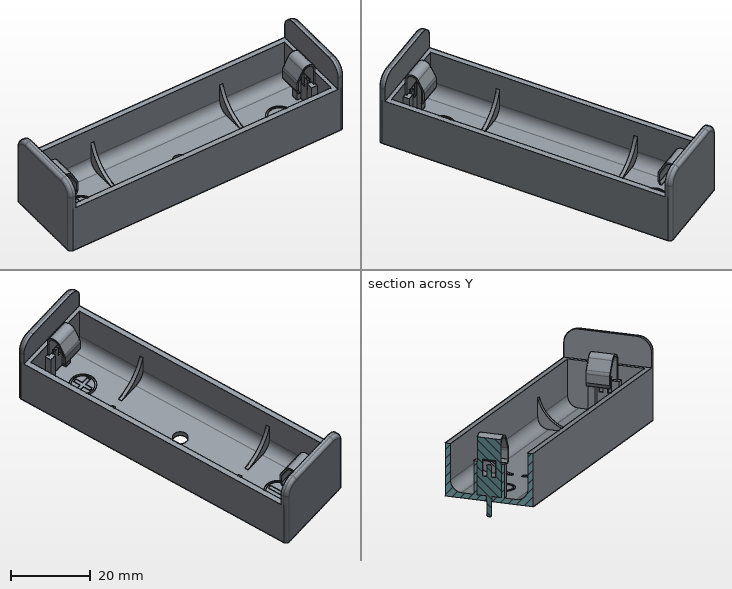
import cadquery as cq
import math

length = 83.0
width = 23.8
rim_height = 14.0
end_height = 21.8
end_thickness = 1.8
end_corner_radius = 4.0
end_edge_radius = 1.0
side_wall = 1.5
end_wall = 2.9
floor_thickness = 1.5
floor_corner_radius = 3.0
drain_diameter = 4.0

rib_thickness = 1.0
rib_offset = 19.5
rib_gap = 2.6
battery_radius = 10.8

ring_outer_diameter = 7.0
ring_inner_diameter = 6.0
ring_offset = 30.05
sign_length = 5.0
sign_width = 1.0
engraving_depth = 0.2

sheet = 0.5
contact_width = 6.5
contact_top = 17.35
arch_radius = 2.0
leaf_angle = 62.0
leaf_reach = 5.5
leaf_bend_radius = 2.0
leaf_bottom = 10.2
foot_run = 0.5
foot_drop = 1.0
pin_width = 1.3
pin_length = 4.0
pin_chamfer = 0.3
pin_top = 9.7
window_width = 3.5
window_bottom = 6.55
window_top = 10.9

rail_height = 10.3
rail_pair_width = 8.5
rail_depth = 1.75
rail_gap = 4.5

cavity_width = width - 2 * side_wall
cavity_length = length - 2 * end_wall
cavity_end = cavity_length / 2
ENDS = (1, -1)


def upright_box(size_x, size_y, size_z, y=0.0, z=0.0):
    """Box centred on X and on the given Y, standing on the given Z."""
    return cq.Workplane("XY", origin=(0, y, z)).box(size_x, size_y, size_z, centered=(True, True, False))


def at_end(body, end):
    """Keep a body modelled at the +Y end (end = 1) or turn it to the -Y end (end = -1)."""
    return body if end > 0 else body.rotate((0, 0, 0), (0, 0, 1), 180)


def end_plate():
    plate = upright_box(width, end_thickness, end_height, y=(length - end_thickness) / 2)
    plate = plate.edges("|Y and >Z").fillet(end_corner_radius)
    return plate.faces(">Y").edges("not <Z").fillet(end_edge_radius)


def cavity():
    block = upright_box(cavity_width, cavity_length, end_height, z=floor_thickness)
    return block.edges("|Y and <Z").fillet(floor_corner_radius)


def rib():
    """Cross rib hollowed to the battery's curve and open in the middle."""
    battery_axis = floor_thickness + battery_radius
    blank = upright_box(width - side_wall, rib_thickness, battery_axis, y=rib_offset)
    battery = (
        cq.Workplane("XZ", origin=(0, 0, battery_axis))
        .circle(battery_radius)
        .extrude(cavity_end, both=True)
    )
    gap = upright_box(rib_gap, rib_thickness, rim_height, y=rib_offset, z=floor_thickness)
    return blank.cut(battery).cut(gap)


def rails():
    """Pair of L-shaped rails that wrap the edges of a contact against the end wall."""
    block = upright_box(rail_pair_width, rail_depth, rail_height, y=cavity_end - rail_depth / 2)
    slot = upright_box(contact_width, sheet, rail_height, y=cavity_end - sheet / 2, z=floor_thickness)
    gap = upright_box(rail_gap, rail_depth, rail_height, y=cavity_end - rail_depth / 2, z=floor_thickness)
    return block.cut(slot).cut(gap)


def polarity_engraving(end):
    """Ring around a minus at the +Y end or a plus at the -Y end."""
    y = end * ring_offset
    z = floor_thickness - engraving_depth
    ring = (
        cq.Workplane("XY", origin=(0, y, z))
        .circle(ring_outer_diameter / 2)
        .circle(ring_inner_diameter / 2)
        .extrude(engraving_depth)
    )
    engraving = ring.union(upright_box(sign_width, sign_length, engraving_depth, y=y, z=z))
    if end < 0:
        engraving = engraving.union(upright_box(sign_length, sign_width, engraving_depth, y=y, z=z))
    return engraving


def polar(centre, radius, angle):
    return (centre[0] + radius * math.cos(angle), centre[1] + radius * math.sin(angle))


def leaf_sheet():
    """Sheet bent up the end wall, over an arch and down a sloping leaf, as a Y-Z profile."""
    slope_normal = math.radians(90 + leaf_angle)
    arch_middle = slope_normal / 2
    bend_middle = (slope_normal + math.pi) / 2
    arch_centre = (cavity_end - arch_radius, contact_top - arch_radius)

    front_y = cavity_end - leaf_reach
    bend_y = front_y + leaf_bend_radius
    bend_z = arch_centre[1] + (
        arch_radius - leaf_bend_radius - (bend_y - arch_centre[0]) * math.cos(slope_normal)
    ) / math.sin(slope_normal)
    bend_centre = (bend_y, bend_z)

    arch_inner = arch_radius - sheet
    bend_inner = leaf_bend_radius - sheet
    foot_y = front_y + foot_run
    foot_z = leaf_bottom - foot_drop
    return (
        cq.Workplane("YZ")
        .moveTo(cavity_end, floor_thickness)
        .lineTo(*polar(arch_centre, arch_radius, 0))
        .threePointArc(
            polar(arch_centre, arch_radius, arch_middle), polar(arch_centre, arch_radius, slope_normal)
        )
        .lineTo(*polar(bend_centre, leaf_bend_radius, slope_normal))
        .threePointArc(
            polar(bend_centre, leaf_bend_radius, bend_middle), polar(bend_centre, leaf_bend_radius, math.pi)
        )
        .lineTo(front_y, leaf_bottom)
        .lineTo(foot_y, foot_z)
        .lineTo(foot_y + sheet, foot_z)
        .lineTo(front_y + sheet, leaf_bottom)
        .lineTo(*polar(bend_centre, bend_inner, math.pi))
        .threePointArc(
            polar(bend_centre, bend_inner, bend_middle), polar(bend_centre, bend_inner, slope_normal)
        )
        .lineTo(*polar(arch_centre, arch_inner, slope_normal))
        .threePointArc(polar(arch_centre, arch_inner, arch_middle), polar(arch_centre, arch_inner, 0))
        .lineTo(cavity_end - sheet, floor_thickness)
        .close()
        .extrude(contact_width / 2, both=True)
    )


def contact():
    """Contact at the +Y end: leaf sheet with a window into which the solder pin's top reaches."""
    sheet_y = cavity_end - sheet / 2
    window = upright_box(window_width, sheet, window_top - window_bottom, y=sheet_y, z=window_bottom)
    pin = upright_box(pin_width, sheet, pin_top + pin_length, y=sheet_y, z=-pin_length)
    pin = pin.faces("<Z or >Z").edges("|Y").chamfer(pin_chamfer)
    return leaf_sheet().cut(window).union(pin)


def make_housing():
    body = upright_box(width, length - end_thickness, rim_height)
    for end in ENDS:
        body = body.union(at_end(end_plate(), end))
    body = body.cut(cavity())
    for end in ENDS:
        body = body.union(at_end(rib(), end))
        body = body.union(at_end(rails(), end))
        body = body.cut(polarity_engraving(end))
        pin_hole = upright_box(pin_width, sheet, floor_thickness, y=end * (cavity_end - sheet / 2))
        body = body.cut(pin_hole)
    drain_hole = cq.Workplane("XY").circle(drain_diameter / 2).extrude(floor_thickness)
    return body.cut(drain_hole)


housing = make_housing()
contacts = [at_end(contact(), end) for end in ENDS]

result = cq.Compound.makeCompound([housing.val(), *[body.val() for body in contacts]])